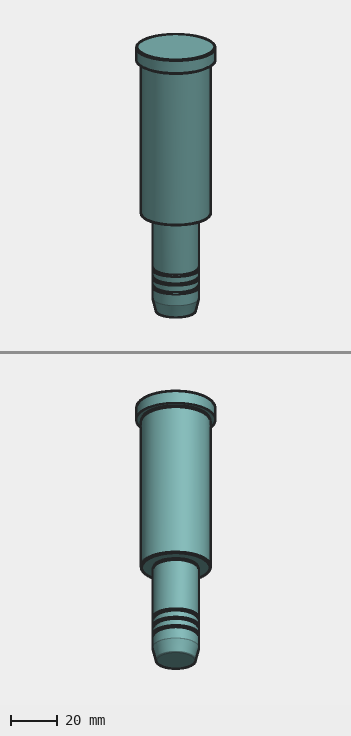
import cadquery as cq

total_length = 120.0
head_radius = 34.0 / 2
head_height = 6.0
body_radius = 15.0
body_length = 70.0
shank_radius = 20.0 / 2

head_top_chamfer = 0.5
body_bottom_chamfer = 0.5
neck_depth = 0.5
neck_flare = 0.7
neck_height = 1.1

taper_height = 6.0
tip_radius = 8.5
tip_round = 0.5

groove_count = 3
groove_radius = 0.5
groove_pitch = 4.0
top_groove_height = 19.5

head_bottom = total_length - head_height
body_bottom = head_bottom - body_length


def cylinder(radius, bottom, top):
    return cq.Workplane("XY").workplane(offset=bottom).circle(radius).extrude(top - bottom)


def relief_neck(radius, shoulder):
    """Ring cut just below a shoulder, flaring back out to the full radius."""
    profile = (
        cq.Workplane("XZ")
        .moveTo(radius - neck_depth, shoulder)
        .lineTo(radius, shoulder)
        .lineTo(radius, shoulder - neck_height)
        .lineTo(radius - neck_depth, shoulder - neck_height + neck_flare)
        .close()
    )
    return profile.revolve(360, (0, 0, 0), (0, 1, 0))


def ring_groove(center_height):
    """Ring with a round section, centred on the shank surface."""
    section = cq.Workplane("XZ").center(shank_radius, center_height).circle(groove_radius)
    return section.revolve(360, (-shank_radius, 0, 0), (-shank_radius, 1, 0))


head = cylinder(head_radius, head_bottom, total_length).faces(">Z").chamfer(head_top_chamfer)
body = cylinder(body_radius, body_bottom, head_bottom).faces("<Z").chamfer(body_bottom_chamfer)
shank = cylinder(shank_radius, taper_height, body_bottom)

tip = (
    cq.Workplane("XZ")
    .lineTo(tip_radius, 0)
    .lineTo(shank_radius, taper_height)
    .lineTo(0, taper_height)
    .close()
    .revolve(360, (0, 0, 0), (0, 1, 0))
    .faces("<Z")
    .edges()
    .fillet(tip_round)
)

result = head.union(body).union(shank).union(tip)

result = result.cut(relief_neck(body_radius, head_bottom))
result = result.cut(relief_neck(shank_radius, body_bottom))

for index in range(groove_count):
    result = result.cut(ring_groove(top_groove_height - index * groove_pitch))